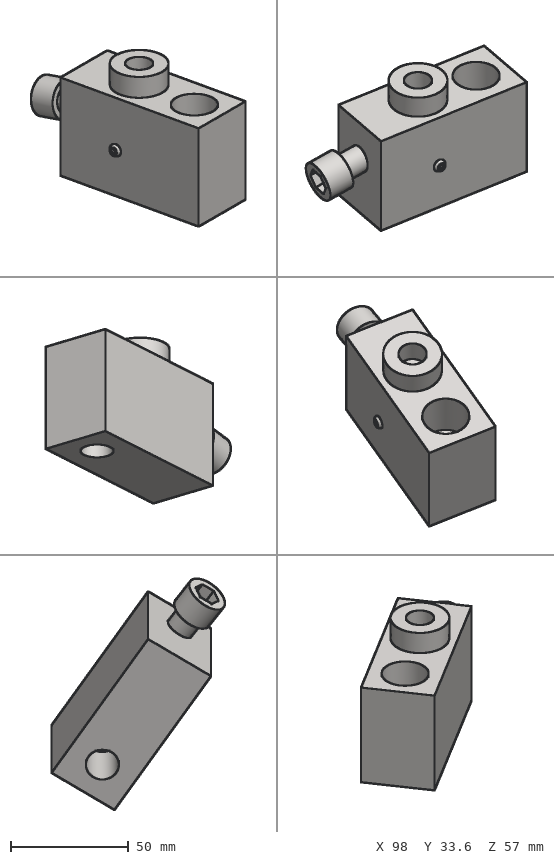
import cadquery as cq
import math

overall_length = 98.0

block_length = 75.2
block_width = 31.9
block_height = 47.0

boss_x = 30.1
boss_diameter = 25.0
boss_height = 10.0
boss_bore_diameter = 12.0
boss_bore_depth = boss_height

mount_x = 60.1
mount_diameter = 14.0
counterbore_diameter = 20.0
counterbore_depth = 20.0

nipple_z = 22.05
nipple_diameter = 5.7
nipple_height = 1.7
nipple_tip_diameter = 3.8
nipple_bulge_height = 0.9
nipple_bulge_diameter = 5.3
nipple_hole_diameter = 2.0
nipple_hole_depth = nipple_height

screw_tilt = 9.0
screw_face_z = 25.0
head_diameter = 18.0
head_length = 12.0
shank_diameter = 12.0
shank_length = 26.0
socket_across_flats = 10.0
socket_depth = 6.0

tilt = math.radians(screw_tilt)
head_overhang = head_diameter / 2 * math.sin(tilt)
screw_face_x = block_length - overall_length + head_overhang
screw_plane = cq.Plane(
    origin=(screw_face_x, 0, screw_face_z),
    xDir=(0, 1, 0),
    normal=(math.cos(tilt), 0, math.sin(tilt)),
)


def make_shank():
    """Plain cylinder that fills the matching hole in the block."""
    return (
        cq.Workplane(screw_plane)
        .workplane(offset=head_length)
        .circle(shank_diameter / 2)
        .extrude(shank_length)
    )


def make_screw():
    """Cylindrical head with a hexagon socket, on a plain shank."""
    head = cq.Workplane(screw_plane).circle(head_diameter / 2).extrude(head_length)
    across_corners = socket_across_flats / math.cos(math.pi / 6)
    socket = cq.Workplane(screw_plane).polygon(6, across_corners).extrude(socket_depth)
    return head.union(make_shank()).cut(socket)


def make_nipple():
    """Truncated dome, revolved about its axis and placed on the -Y face."""
    base_y = -block_width / 2
    tip_y = base_y - nipple_height
    dome = (
        cq.Workplane("XY", origin=(boss_x, 0, nipple_z))
        .moveTo(0, base_y)
        .lineTo(nipple_diameter / 2, base_y)
        .threePointArc(
            (nipple_bulge_diameter / 2, base_y - nipple_bulge_height),
            (nipple_tip_diameter / 2, tip_y),
        )
        .lineTo(0, tip_y)
        .close()
        .revolve(360, (0, 0, 0), (0, 1, 0))
    )
    hole = (
        cq.Workplane("XZ", origin=(boss_x, tip_y, nipple_z))
        .circle(nipple_hole_diameter / 2)
        .extrude(-nipple_hole_depth)
    )
    return dome.cut(hole)


def make_housing():
    """Block with its boss, mounting hole, nipple and screw hole."""
    block = cq.Workplane("XY").box(
        block_length, block_width, block_height, centered=(False, True, False)
    )
    boss = (
        cq.Workplane("XY", origin=(boss_x, 0, block_height))
        .circle(boss_diameter / 2)
        .extrude(boss_height)
    )
    boss_bore = (
        cq.Workplane("XY", origin=(boss_x, 0, block_height + boss_height))
        .circle(boss_bore_diameter / 2)
        .extrude(-boss_bore_depth)
    )
    drilled_block = (
        block.faces(">Z")
        .workplane(origin=(mount_x, 0, block_height))
        .cboreHole(mount_diameter, counterbore_diameter, counterbore_depth)
    )
    return drilled_block.union(boss).cut(boss_bore).union(make_nipple()).cut(make_shank())


housing = make_housing()
screw = make_screw()

result = cq.Compound.makeCompound([housing.solids().val(), screw.solids().val()])